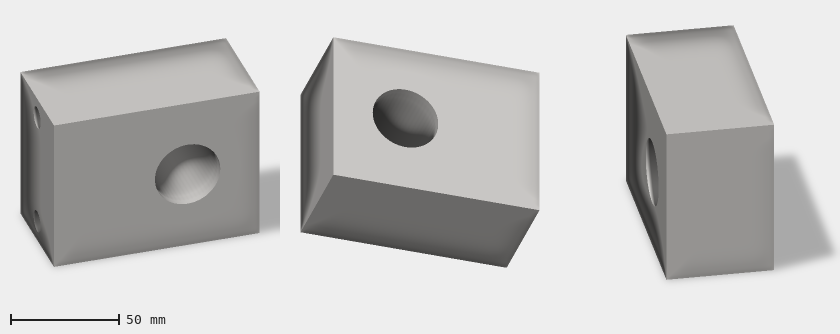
import cadquery as cq

width = 50.8
length = 100.0
height = 76.2

bore_diameter = 31.8
bore_from_back = 35.0

hole_diameter = 10.6
hole_depth = 25.4
hole_edge_distance = 10.1

bore_y = length / 2 - bore_from_back
hole_z = height / 2 - hole_edge_distance

block = cq.Workplane("XY").box(width, length, height)

bore = (
    cq.Workplane("YZ")
    .center(bore_y, 0)
    .circle(bore_diameter / 2)
    .extrude(width, both=True)
)

front_holes = (
    cq.Workplane("XZ", origin=(0, -length / 2, 0))
    .pushPoints([(0, -hole_z), (0, hole_z)])
    .circle(hole_diameter / 2)
    .extrude(-hole_depth)
)

result = block.cut(bore).cut(front_holes)